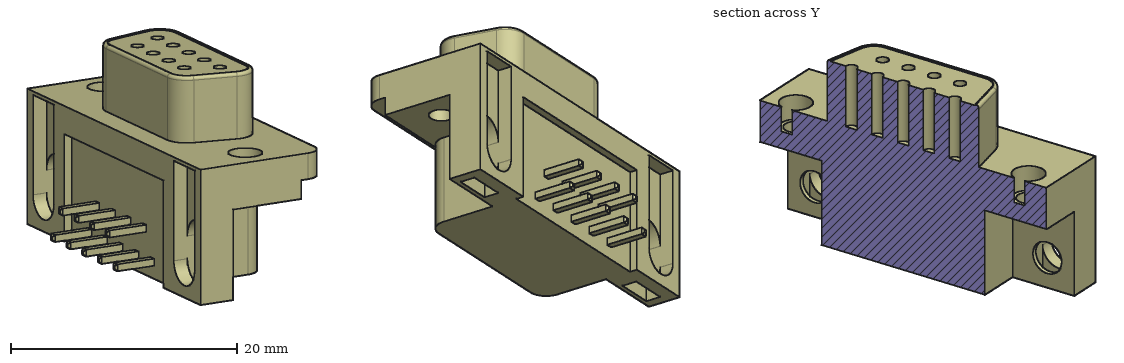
import cadquery as cq


length = 30.8
body_height = 12.45
flange_depth = 12.55
flange_thickness = 2.4
flange_corner_radius = 1.6
shoulder_depth = 10.3
shoulder_bottom = 8.32
leg_depth = 3.33
core_corner_radius = 1.7
recess_width = 17.55
recess_height = 9.85
recess_depth = 0.75

shell_height = 6.07
shell_corner_radius = 2.0
shell_bottom = 2.3
shell_top = 10.25
shell_wide_half = 6.25
shell_narrow_half = 5.42
shell_edge_radius = 0.3
rim_flat = 0.1
face_recess = 0.1

pitch = 2.77
long_row = 5
short_row = 4
socket_diameter = 1.15
socket_depth = shell_height
long_socket_y = 7.65
short_socket_y = 4.8
pin_width = 0.65
pin_length = 3.17
pin_tip_chamfer = 0.2
long_pin_z = 1.55
short_pin_z = long_pin_z + pitch

fixing_x = 12.5
jack_y = 6.22
jack_diameter = 3.05
jack_bore_diameter = 2.25
slot_width = 3.7
slot_depth = 1.4
slot_top = 12.1
mount_z = 2.95
mount_diameter = 3.08
nut_pocket_top = 6.9
nut_pocket_back = 2.85


def box(width, y_start, y_end, z_start, z_end, x=0):
    """Box centred on x that spans the given Y and Z ranges."""
    size = (width, y_end - y_start, z_end - z_start)
    return cq.Workplane("XY").box(*size, centered=(True, False, False)).translate((x, y_start, z_start))


def rod_y(diameter, y_start, y_end, x, z):
    """Cylinder along Y."""
    rod = cq.Workplane("XZ").circle(diameter / 2).extrude(-(y_end - y_start))
    return rod.translate((x, y_start, z))


def row_positions(count):
    """X places of a centred row of contacts."""
    return [(i - (count - 1) / 2) * pitch for i in range(count)]


def make_housing():
    flange = box(length, 0, flange_depth, body_height - flange_thickness, body_height)
    flange = flange.edges("|Z and >Y").fillet(flange_corner_radius)
    shoulder = box(length, 0, shoulder_depth, shoulder_bottom, body_height)
    legs = box(length, 0, leg_depth, 0, body_height)
    core = box(recess_width, 0, shoulder_depth, 0, shoulder_bottom)
    core = core.edges("|Z and >Y").fillet(core_corner_radius)
    recess = box(recess_width, 0, recess_depth, 0, recess_height)
    return flange.union(shoulder).union(legs).union(core).cut(recess)


def d_outline(z, corner_radius):
    """D-shaped wire at height z; all such outlines share the same corner centres."""
    low = shell_bottom + shell_corner_radius
    high = shell_top - shell_corner_radius
    arc_centres = [
        (-shell_narrow_half, low),
        (shell_narrow_half, low),
        (shell_wide_half, high),
        (-shell_wide_half, high),
    ]
    outline = cq.Workplane("XY").workplane(offset=z).polyline(arc_centres).close()
    return outline.offset2D(corner_radius, "arc")


def make_shell():
    """Rounded shell whose mating face sits just below a thin rim."""
    shell = d_outline(body_height, shell_corner_radius).extrude(shell_height)
    shell = shell.faces(">Z").edges().fillet(shell_edge_radius)
    face_corner_radius = shell_corner_radius - shell_edge_radius - rim_flat
    face_pocket = d_outline(body_height + shell_height, face_corner_radius).extrude(-face_recess)
    return shell.cut(face_pocket)


def make_sockets():
    places = [(x, long_socket_y) for x in row_positions(long_row)]
    places += [(x, short_socket_y) for x in row_positions(short_row)]
    top = cq.Workplane("XY").workplane(offset=body_height + shell_height)
    return top.pushPoints(places).circle(socket_diameter / 2).extrude(-socket_depth)


def make_pin(x, z):
    pin = box(pin_width, -pin_length, recess_depth, z - pin_width / 2, z + pin_width / 2, x)
    return pin.faces("<Y").chamfer(pin_tip_chamfer)


def make_fixing(x):
    """Jack-screw hole, front slot, nut pocket open at the bottom, and mounting hole."""
    half_slot = slot_width / 2
    jack = cq.Workplane("XY").workplane(offset=body_height).center(x, jack_y)
    jack_hole = jack.circle(jack_diameter / 2).extrude(-flange_thickness)
    jack_bore = jack.circle(jack_bore_diameter / 2).extrude(-body_height)

    slot = box(slot_width, 0, slot_depth, mount_z, slot_top, x)
    slot = slot.union(rod_y(slot_width, 0, slot_depth, x, mount_z))

    arch_z = nut_pocket_top - half_slot
    nut_pocket = box(slot_width, slot_depth, nut_pocket_back, 0, arch_z, x)
    nut_pocket = nut_pocket.union(rod_y(slot_width, slot_depth, nut_pocket_back, x, arch_z))

    mount_hole = rod_y(mount_diameter, 0, leg_depth, x, mount_z)
    return jack_hole.union(jack_bore).union(slot).union(nut_pocket).union(mount_hole)


result = make_housing().union(make_shell()).cut(make_sockets())

for side in (-1, 1):
    result = result.cut(make_fixing(side * fixing_x))

for row_count, row_z in ((long_row, long_pin_z), (short_row, short_pin_z)):
    for pin_x in row_positions(row_count):
        result = result.union(make_pin(pin_x, row_z))